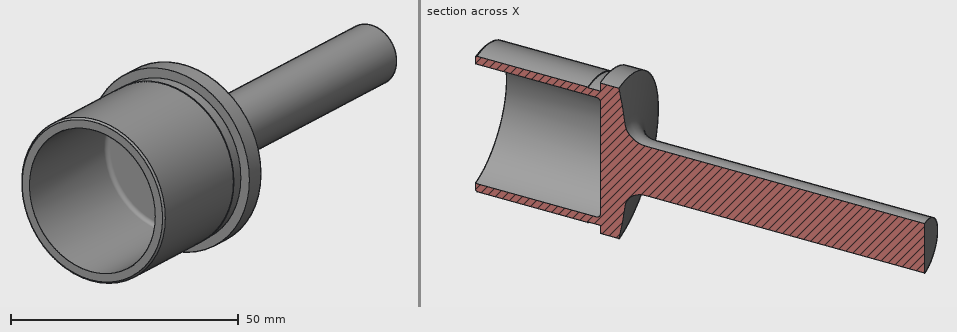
import cadquery as cq
import math

total_length = 108.0

spigot_radius = 19.1
spigot_length = 30.0
relief_width = 2.9
relief_depth = 0.16
rim_chamfer = 0.4

bore_radius = 16.7
bore_depth = spigot_length
bore_fillet = 1.0

flange_radius = 42.4 / 2
flange_thickness = 4.5
dome_radius = 108.0

stem_radius = 7.0
stem_fillet = 5.0

relief_radius = spigot_radius - relief_depth
relief_start = spigot_length - relief_width
flange_end = spigot_length + flange_thickness

dome_center = flange_end - math.sqrt(dome_radius**2 - flange_radius**2)

fillet_center_radius = stem_radius + stem_fillet
fillet_center_y = dome_center + math.sqrt((dome_radius + stem_fillet) ** 2 - fillet_center_radius**2)
dome_tilt = math.atan2(fillet_center_radius, fillet_center_y - dome_center)
rim_tilt = math.asin(flange_radius / dome_radius)


def on_dome(tilt):
    """Point of the dome profile at an angle from the axis."""
    return (dome_radius * math.sin(tilt), dome_center + dome_radius * math.cos(tilt))


def on_stem_fillet(angle):
    """Point of the stem fillet at an angle measured from the -X direction toward -Y."""
    return (
        fillet_center_radius - stem_fillet * math.cos(angle),
        fillet_center_y - stem_fillet * math.sin(angle),
    )


fillet_sweep = math.pi / 2 - dome_tilt

profile = (
    cq.Workplane("XY")
    .moveTo(0, bore_depth)
    .lineTo(bore_radius - bore_fillet, bore_depth)
    .tangentArcPoint((bore_radius, bore_depth - bore_fillet), relative=False)
    .lineTo(bore_radius, 0)
    .lineTo(spigot_radius - rim_chamfer, 0)
    .lineTo(spigot_radius, rim_chamfer)
    .lineTo(spigot_radius, relief_start)
    .lineTo(relief_radius, relief_start)
    .lineTo(relief_radius, spigot_length)
    .lineTo(flange_radius, spigot_length)
    .lineTo(flange_radius, flange_end)
    .threePointArc(on_dome((rim_tilt + dome_tilt) / 2), on_dome(dome_tilt))
    .threePointArc(on_stem_fillet(fillet_sweep / 2), on_stem_fillet(0))
    .lineTo(stem_radius, total_length)
    .lineTo(0, total_length)
    .close()
)

result = profile.revolve(axisStart=(0, 0, 0), axisEnd=(0, 1, 0))